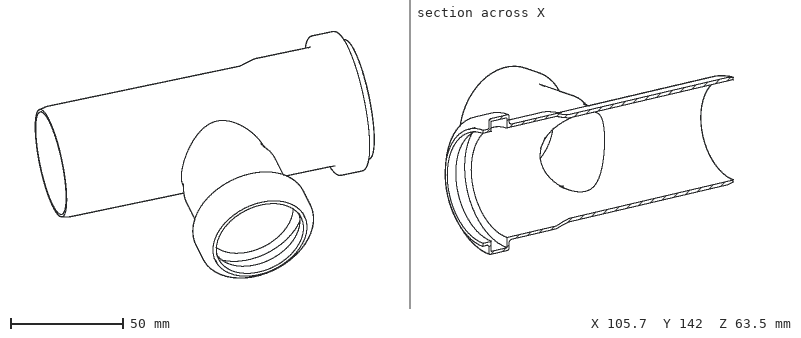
import cadquery as cq
import math

total_length = 142.0
branch_to_mouth = 70.1
pipe_diameter = 50.3
pipe_bore = 46.6
tail_taper_length = 3.4
tail_tip_diameter = 48.8
main_socket_diameter = 54.0
main_socket_bore = 50.8
main_collar_diameter = 63.5
main_groove_diameter = 60.4
main_socket_length = 41.6

branch_angle = 2.5
branch_length = 73.1
neck_diameter = 39.9
neck_bore = 36.5
branch_socket_diameter = 44.0
branch_socket_bore = 40.8
branch_collar_diameter = 53.5
branch_groove_diameter = 50.3
branch_socket_length = 39.8

groove_wall = 1.5
cone_length = 7.2
lip_length = 3.3
lip_outset = 0.1
collar_length = 11.8
corner_radius = 1.1
root_radius = 1.1
lip_root_radius = 0.7


def corner_arc(profile, radial, axial, mouthward):
    """Add a convex quarter arc at the collar rim, ending at (radial, axial)."""
    inset = corner_radius * (1 - math.sqrt(0.5))
    if mouthward:
        middle = (radial + corner_radius - inset, axial - inset)
    else:
        middle = (radial - inset, axial - corner_radius + inset)
    return profile.threePointArc(middle, (radial, axial))


def socketed_pipe(start, mouth, diameter, socket_diameter, collar_diameter, socket_length):
    """Solid outside of a pipe and its socket along +Y, from start to mouth."""
    pipe_radius = diameter / 2
    socket_radius = socket_diameter / 2
    collar_radius = collar_diameter / 2
    lip_radius = socket_radius + lip_outset
    cone_end = mouth - socket_length
    collar_end = mouth - lip_length
    collar_start = collar_end - collar_length
    root_inset = root_radius * (1 - math.sqrt(0.5))
    lip_root_inset = lip_root_radius * (1 - math.sqrt(0.5))

    profile = (
        cq.Workplane("XY")
        .moveTo(0, start)
        .lineTo(pipe_radius, start)
        .lineTo(pipe_radius, cone_end - cone_length)
        .lineTo(socket_radius, cone_end)
        .lineTo(socket_radius, collar_start - root_radius)
        .threePointArc(
            (socket_radius + root_inset, collar_start - root_inset),
            (socket_radius + root_radius, collar_start),
        )
        .lineTo(collar_radius - corner_radius, collar_start)
    )
    profile = corner_arc(profile, collar_radius, collar_start + corner_radius, False)
    profile = profile.lineTo(collar_radius, collar_end - corner_radius)
    profile = corner_arc(profile, collar_radius - corner_radius, collar_end, True)
    profile = (
        profile.lineTo(lip_radius + lip_root_radius, collar_end)
        .threePointArc(
            (lip_radius + lip_root_inset, collar_end + lip_root_inset),
            (lip_radius, collar_end + lip_root_radius),
        )
        .lineTo(lip_radius, mouth)
        .lineTo(0, mouth)
        .close()
    )
    return profile.revolve(360, (0, 0, 0), (0, 1, 0))


def socketed_bore(start, mouth, bore, socket_bore, groove_diameter, socket_length):
    """Inside of a pipe and its socket, with the seal groove under the collar."""
    bore_radius = bore / 2
    socket_radius = socket_bore / 2
    groove_radius = groove_diameter / 2
    lip_radius = socket_radius + lip_outset
    cone_end = mouth - socket_length
    groove_end = mouth - lip_length - groove_wall
    groove_start = mouth - lip_length - collar_length + groove_wall
    return (
        cq.Workplane("XY")
        .moveTo(0, start)
        .lineTo(bore_radius, start)
        .lineTo(bore_radius, cone_end - cone_length)
        .lineTo(socket_radius, cone_end)
        .lineTo(socket_radius, groove_start)
        .lineTo(groove_radius, groove_start)
        .lineTo(groove_radius, groove_end)
        .lineTo(lip_radius, groove_end)
        .lineTo(lip_radius, mouth)
        .lineTo(0, mouth)
        .close()
        .revolve(360, (0, 0, 0), (0, 1, 0))
    )


def aim_branch(body):
    """Turn a body built along +Y onto the leaning branch axis."""
    return body.rotate((0, 0, 0), (0, 0, 1), branch_angle - 90)


tail_end = branch_to_mouth - total_length
main_hollow = (main_socket_bore, main_groove_diameter, main_socket_length)
main_socket = (main_socket_diameter, main_collar_diameter, main_socket_length)
branch_hollow = (branch_socket_bore, branch_groove_diameter, branch_socket_length)
branch_socket = (branch_socket_diameter, branch_collar_diameter, branch_socket_length)

tail_taper = (pipe_diameter - tail_tip_diameter) / 2
main_outside = (
    socketed_pipe(tail_end, branch_to_mouth, pipe_diameter, *main_socket)
    .faces("<Y")
    .chamfer(tail_taper, tail_taper_length)
)
main_inside = socketed_bore(tail_end, branch_to_mouth, pipe_bore, *main_hollow)

branch_outside = aim_branch(socketed_pipe(0, branch_length, neck_diameter, *branch_socket))
branch_inside = aim_branch(socketed_bore(0, branch_length, neck_bore, *branch_hollow))

result = main_outside.union(branch_outside).cut(main_inside).cut(branch_inside)